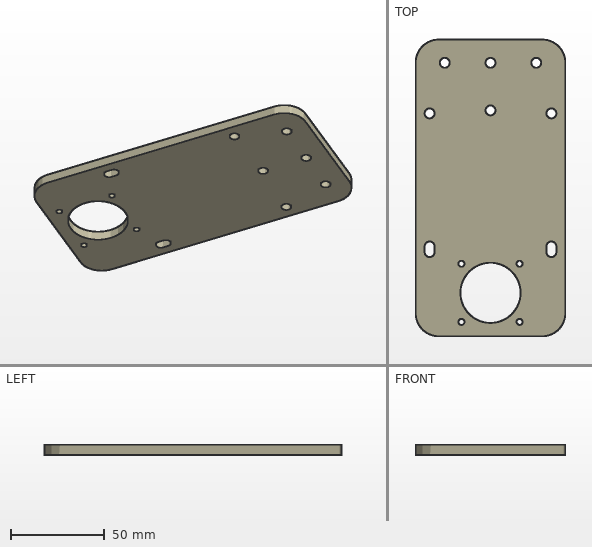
import cadquery as cq

width = 80.04
length = 158.5
thickness = 5.6
corner_radius = 12.5

mount_diameter = 5.2
top_row_inset = 12.5
top_row_y = length / 2 - top_row_inset
top_row_pitch = 24.4
center_hole_drop = 25.4
center_hole_y = top_row_y - center_hole_drop

side_x = 32.5
side_hole_y = 39.75
hole_to_slot = 72.5
slot_y = side_hole_y - hole_to_slot
slot_travel = 3.0
slot_length = mount_diameter + slot_travel

motor_y = -56.0
motor_bore_diameter = 32.0
motor_screw_diameter = 3.11
motor_screw_pitch = 31.0


def make_plate():
    plate = cq.Workplane("XY").rect(width, length).extrude(thickness)
    return plate.edges("|Z").fillet(corner_radius)


def cut_holes(plate, diameter, centers):
    cutters = cq.Workplane("XY").pushPoints(centers).circle(diameter / 2).extrude(thickness)
    return plate.cut(cutters)


def cut_slots(plate, centers):
    outlines = cq.Workplane("XY").pushPoints(centers).slot2D(slot_length, mount_diameter, angle=90)
    return plate.cut(outlines.extrude(thickness))


top_row = [(step * top_row_pitch, top_row_y) for step in (-1, 0, 1)]
side_holes = [(side * side_x, side_hole_y) for side in (-1, 1)]
side_slots = [(side * side_x, slot_y) for side in (-1, 1)]
motor_screws = [
    (x_side * motor_screw_pitch / 2, motor_y + y_side * motor_screw_pitch / 2)
    for x_side in (-1, 1)
    for y_side in (-1, 1)
]

result = make_plate()
result = cut_holes(result, mount_diameter, top_row + [(0, center_hole_y)] + side_holes)
result = cut_slots(result, side_slots)
result = cut_holes(result, motor_bore_diameter, [(0, motor_y)])
result = cut_holes(result, motor_screw_diameter, motor_screws)